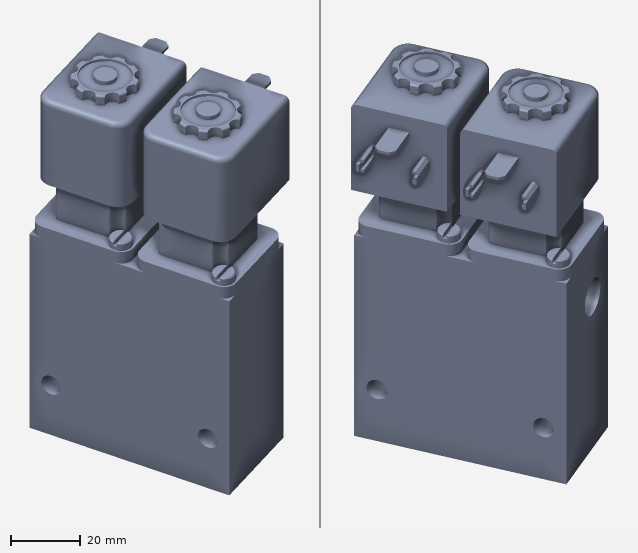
import cadquery as cq

block_width = 66.0
block_depth = 32.0
block_height = 70.0
mount_hole_dia = 6.5
mount_hole_offset = 26.0
mount_hole_z = 18.0
port_dia = 11.8
port_y = -4.0
port_z = 52.8
port_depth = 18.5

flange_size = 32.0
flange_height = 4.0
flange_corner_radius = 4.0
valve_offset = (block_width - flange_size) / 2
flange_top = block_height + flange_height

screw_offset = 11.9
screw_places = [(-screw_offset, screw_offset), (screw_offset, -screw_offset)]
screw_head_dia = 6.9
screw_head_height = 2.7
screw_head_chamfer = 0.4
screw_slot_width = 1.2
screw_slot_depth = 1.4
screw_clearance_dia = 8.9

column_size = 22.0
column_corner_radius = 2.1

coil_bottom = 89.2
coil_height = 30.0
coil_width = 30.0
coil_front = -15.3
coil_back = 21.0
coil_corner_radius = 5.2
coil_top_radius = 1.7
coil_top = coil_bottom + coil_height

total_height = 123.0
pin_dia = 6.9
nut_dia = 20.0
nut_top = 122.5
nut_edge_radius = 0.6
nut_recess_dia = 16.0
nut_recess_z = 121.6
nut_lobes = 9
nut_first_lobe_angle = 91.0
nut_groove_dia = 4.7
nut_groove_bottom_radius = 8.4
nut_groove_offset = nut_groove_bottom_radius + nut_groove_dia / 2

blade_width = 6.4
blade_thickness = 1.0
blade_z = 113.4
blade_tip_y = 32.8
blade_chamfer = 1.5

terminal_z = 104.4
terminal_outer_x = 9.5
terminal_thickness = 1.0
terminal_depth = 2.0
terminal_bend = 1.0
terminal_half_height = 2.2
terminal_web_half_height = terminal_half_height - terminal_bend
terminal_tip_y = 30.8
terminal_lip_y = 29.3


def make_block():
    block = cq.Workplane("XY").box(
        block_width, block_depth, block_height, centered=(True, True, False)
    )
    mount_holes = (
        cq.Workplane("XZ")
        .pushPoints([(-mount_hole_offset, mount_hole_z), (mount_hole_offset, mount_hole_z)])
        .circle(mount_hole_dia / 2)
        .extrude(block_depth / 2, both=True)
    )
    port = (
        cq.Workplane("YZ", origin=(-block_width / 2, port_y, port_z))
        .circle(port_dia / 2)
        .extrude(port_depth)
    )
    return block.cut(mount_holes).cut(port)


def make_flange():
    return (
        cq.Workplane("XY")
        .workplane(offset=block_height)
        .rect(flange_size, flange_size)
        .extrude(flange_height)
        .edges("|Z")
        .fillet(flange_corner_radius)
    )


def make_screws():
    heads = (
        cq.Workplane("XY", origin=(0, 0, flange_top))
        .pushPoints(screw_places)
        .circle(screw_head_dia / 2)
        .extrude(screw_head_height)
        .faces(">Z")
        .edges()
        .chamfer(screw_head_chamfer)
    )
    slots = (
        cq.Workplane("XY", origin=(0, 0, flange_top + screw_head_height))
        .pushPoints(screw_places)
        .rect(screw_slot_width, screw_head_dia)
        .extrude(-screw_slot_depth)
    )
    return heads.cut(slots)


def make_column():
    column_height = coil_bottom - flange_top
    column = (
        cq.Workplane("XY", origin=(0, 0, flange_top))
        .rect(column_size, column_size)
        .extrude(column_height)
        .edges("|Z")
        .fillet(column_corner_radius)
    )
    screw_clearance = (
        cq.Workplane("XY", origin=(0, 0, flange_top))
        .pushPoints(screw_places)
        .circle(screw_clearance_dia / 2)
        .extrude(column_height)
    )
    return column.cut(screw_clearance)


def make_coil():
    return (
        cq.Workplane("XY", origin=(0, (coil_front + coil_back) / 2, coil_bottom))
        .rect(coil_width, coil_back - coil_front)
        .extrude(coil_height)
        .edges("|Z and <Y")
        .fillet(coil_corner_radius)
        .faces(">Z")
        .edges("not >Y")
        .fillet(coil_top_radius)
    )


def make_nut():
    nut = (
        cq.Workplane("XY", origin=(0, 0, coil_top))
        .circle(nut_dia / 2)
        .extrude(nut_top - coil_top)
        .faces(">Z")
        .edges()
        .fillet(nut_edge_radius)
    )
    recess = (
        cq.Workplane("XY", origin=(0, 0, nut_recess_z))
        .circle(nut_recess_dia / 2)
        .extrude(nut_top - nut_recess_z)
    )
    lobe_pitch = 360 / nut_lobes
    grooves = (
        cq.Workplane("XY", origin=(0, 0, coil_top))
        .polarArray(nut_groove_offset, nut_first_lobe_angle + lobe_pitch / 2, 360, nut_lobes)
        .circle(nut_groove_dia / 2)
        .extrude(total_height - coil_top)
    )
    pin = (
        cq.Workplane("XY", origin=(0, 0, coil_top))
        .circle(pin_dia / 2)
        .extrude(total_height - coil_top)
    )
    return nut.cut(recess).cut(grooves).union(pin)


def make_blade():
    return (
        cq.Workplane("XY", origin=(0, (coil_back + blade_tip_y) / 2, blade_z))
        .box(blade_width, blade_tip_y - coil_back, blade_thickness)
        .edges("|Z and >Y")
        .chamfer(blade_chamfer)
    )


def make_side_terminal():
    web_inner_x = terminal_outer_x - terminal_thickness
    lip_end_x = terminal_outer_x - terminal_depth
    lip_bend_x = terminal_outer_x - terminal_bend
    lip_inner_z = terminal_half_height - terminal_thickness
    upper = [
        (terminal_outer_x, terminal_web_half_height),
        (lip_bend_x, terminal_half_height),
        (lip_end_x, terminal_half_height),
        (lip_end_x, lip_inner_z),
        (web_inner_x, lip_inner_z),
    ]
    lower = [(x, -z) for x, z in reversed(upper)]
    channel = (
        cq.Workplane("XZ", origin=(0, coil_back, terminal_z))
        .polyline(upper + lower)
        .close()
        .extrude(coil_back - terminal_lip_y)
    )
    web = (
        cq.Workplane("XZ", origin=(web_inner_x + terminal_thickness / 2, coil_back, terminal_z))
        .rect(terminal_thickness, 2 * terminal_web_half_height)
        .extrude(coil_back - terminal_tip_y)
    )
    return channel.union(web)


def make_valve():
    terminal = make_side_terminal()
    valve = make_flange()
    for piece in (
        make_screws(),
        make_column(),
        make_coil(),
        make_nut(),
        make_blade(),
        terminal,
        terminal.mirror("YZ"),
    ):
        valve = valve.union(piece)
    return valve


valve = make_valve()
result = make_block()
for side in (-1, 1):
    result = result.union(valve.translate((side * valve_offset, 0, 0)), clean=False)